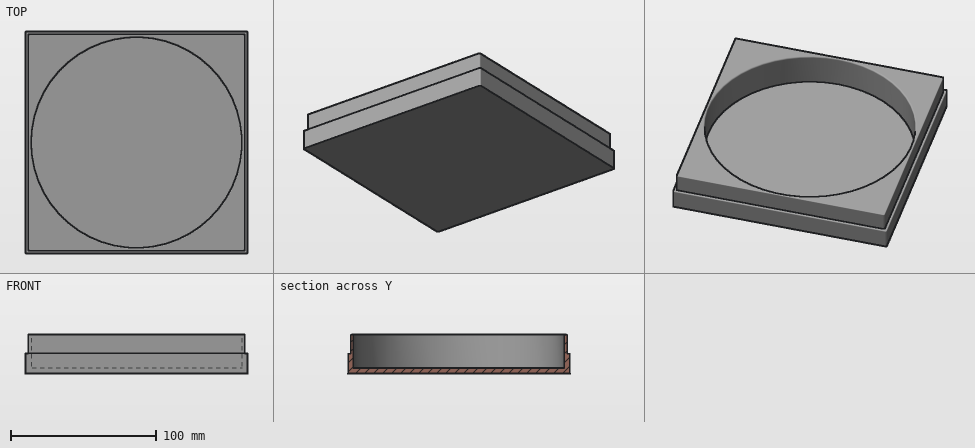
import cadquery as cq

base_side = 153.0
total_height = 27.0
base_height = 14.0
step_width = 2.0
corner_radius = 1.0
top_edge_radius = 0.5
pocket_diameter = 145.0
pocket_rim_radius = 1.0
floor_thickness = 4.0

upper_side = base_side - 2 * step_width
upper_height = total_height - base_height
pocket_depth = total_height - floor_thickness


def square_block(side, height):
    """Square block standing on Z = 0, with rounded upright corners and top edges."""
    block = cq.Workplane("XY").rect(side, side).extrude(height)
    block = block.edges("|Z").fillet(corner_radius)
    return block.faces(">Z").edges().fillet(top_edge_radius)


def cut_round_pocket(body):
    """Cut the blind round pocket from the top face and round its rim."""
    body = body.faces(">Z").workplane(origin=(0, 0, 0)).hole(pocket_diameter, pocket_depth)
    rim = body.faces(">Z").edges("%CIRCLE").edges(cq.selectors.RadiusNthSelector(-1))
    return rim.fillet(pocket_rim_radius)


base = square_block(base_side, base_height)
upper = square_block(upper_side, upper_height).translate((0, 0, base_height))
result = cut_round_pocket(base.union(upper))